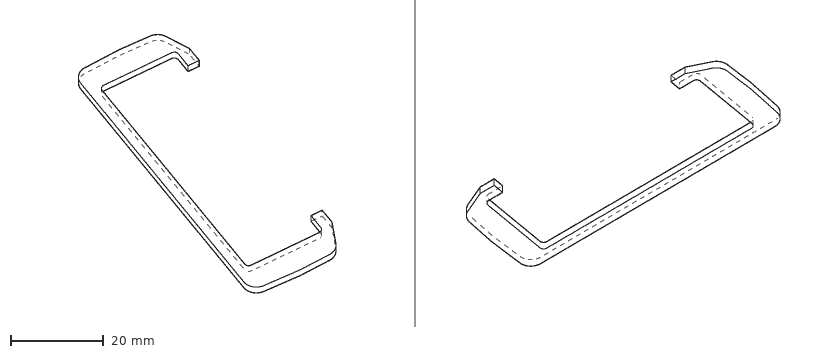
import cadquery as cq

length = 73.45
depth = 25.1
thickness = 2.0

base_half_length = 36.2
peak_y = 12.2
shoulder_x = 36.35
shoulder_y = 21.8
slope_end_x = 28.95
outer_radius = 3.2

wall = 2.9
window_half_length = 30.0
mouth_half_length = 25.0
inner_radius = 1.0

half_length = length / 2


def make_blank():
    """Full plate, symmetric about X = 0, with its straight edge on Y = 0."""
    right_side = [
        (base_half_length, 0),
        (half_length, peak_y),
        (shoulder_x, shoulder_y),
        (slope_end_x, depth),
    ]
    left_side = [(-x, y) for x, y in reversed(right_side)]
    plate = cq.Workplane("XY").polyline(right_side + left_side).close().extrude(thickness)

    for side in (-1, 1):
        for x, y in ((base_half_length, 0), (shoulder_x, shoulder_y)):
            corner = cq.selectors.NearestToPointSelector((side * x, y, thickness / 2))
            plate = plate.edges("|Z").edges(corner).fillet(outer_radius)
    return plate


def make_window():
    """Rounded rectangular cutter that leaves an even wall along both long edges."""
    return (
        cq.Workplane("XY")
        .center(0, depth / 2)
        .rect(2 * window_half_length, depth - 2 * wall)
        .extrude(thickness)
        .edges("|Z")
        .fillet(inner_radius)
    )


def make_mouth():
    """Cutter that opens the window through the far edge, leaving two hooks."""
    mouth_depth = depth / 2
    return (
        cq.Workplane("XY")
        .center(0, depth - mouth_depth / 2)
        .rect(2 * mouth_half_length, mouth_depth)
        .extrude(thickness)
    )


result = make_blank().cut(make_window()).cut(make_mouth())